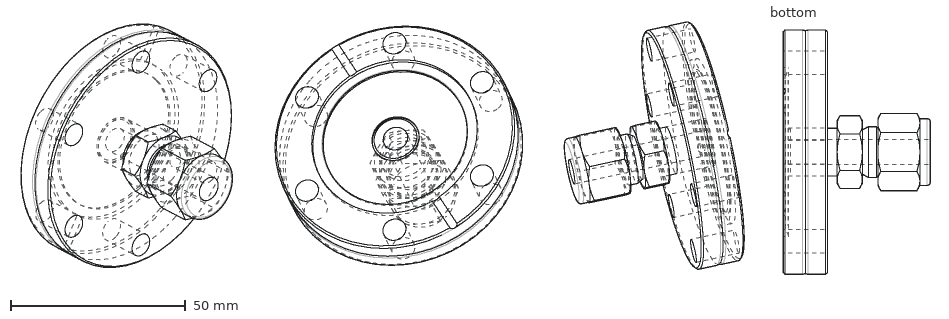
import cadquery as cq
import math

FLANGE_RADIUS = 34.95
FLANGE_THICKNESS = 12.7
RIM_CHAMFER = 0.55
RIM_GROOVE_HALF_WIDTH = 0.8
RIM_GROOVE_DEPTH = 0.2

RECESS_RADIUS = 24.1
GUTTER_DEPTH = 1.6
KNIFE_RADIUS = 21.05
KNIFE_SLOPE_ANGLE = 20.0
KNIFE_RISE = (RECESS_RADIUS - KNIFE_RADIUS) * math.tan(math.radians(KNIFE_SLOPE_ANGLE))
KNIFE_DEPTH = GUTTER_DEPTH - KNIFE_RISE
KNIFE_ROUND = 0.15
RECESS_FLOOR_DEPTH = 1.5

BOLT_COUNT = 6
BOLT_CIRCLE_RADIUS = 29.4
BOLT_HOLE_DIAMETER = 6.7

LEAK_GROOVE_WIDTH = 2.4
LEAK_GROOVE_DEPTH = 0.55
LEAK_GROOVE_ANGLE = 30.0

NECK_RADIUS = 6.85
NECK_END_CHAMFER = 0.6
BORE_DIAMETER = 7.1
BODY_HEX_START = 15.45
BODY_HEX_END = 22.65
BODY_HEX_FLATS = 18.0
COLLAR_RADIUS = 7.3
COLLAR_CONE_RADIUS = 6.35
COLLAR_CONE_END = 24.3
COLLAR_CHAMFER = 0.4
NUT_START = 27.05
NUT_HEX_END = 39.1
NUT_FLATS = 19.15
FITTING_END = 42.1
NUT_END_FILLET = 1.0
HEX_SIDES = 6
HEX_CHAMFER_ANGLE = 30.0

CUT_OVERRUN = 0.7


def x_cylinder(start, end, radius):
    """Solid cylinder along X between two stations."""
    return cq.Workplane("YZ", origin=(start, 0, 0)).circle(radius).extrude(end - start)


def turned(profile):
    """Solid turned about the X axis from a list of (station, radius) points."""
    return cq.Workplane("XY").polyline(profile).close().revolve(360, (0, 0, 0), (1, 0, 0))


def chamfered_hex(start, end, flats):
    """Hexagonal prism along X, flats at +Z and -Z, corners turned to cones at both ends."""
    corner_diameter = flats / math.cos(math.pi / HEX_SIDES)
    prism = cq.Workplane("YZ", origin=(start, 0, 0)).polygon(HEX_SIDES, corner_diameter).extrude(end - start)
    flat_radius = flats / 2
    corner_radius = corner_diameter / 2
    run = (corner_radius - flat_radius) * math.tan(math.radians(HEX_CHAMFER_ANGLE))
    turned_blank = turned([
        (start, 0),
        (start, flat_radius),
        (start + run, corner_radius),
        (end - run, corner_radius),
        (end, flat_radius),
        (end, 0),
    ])
    return prism.intersect(turned_blank)


def rim_groove():
    """Shallow V groove round the middle of the rim."""
    middle = FLANGE_THICKNESS / 2
    mouth = RIM_GROOVE_HALF_WIDTH * (1 + CUT_OVERRUN / RIM_GROOVE_DEPTH)
    return turned([
        (middle, FLANGE_RADIUS - RIM_GROOVE_DEPTH),
        (middle - mouth, FLANGE_RADIUS + CUT_OVERRUN),
        (middle + mouth, FLANGE_RADIUS + CUT_OVERRUN),
    ])


def knife_edge_recess():
    """Recess with a sloped gutter that rises to a ring-shaped knife edge."""
    recess = turned([
        (0, 0),
        (0, RECESS_RADIUS),
        (GUTTER_DEPTH, RECESS_RADIUS),
        (KNIFE_DEPTH, KNIFE_RADIUS),
        (RECESS_FLOOR_DEPTH, KNIFE_RADIUS),
        (RECESS_FLOOR_DEPTH, 0),
    ])
    knife_tip = cq.NearestToPointSelector((KNIFE_DEPTH, 0, 0))
    return recess.edges(knife_tip).fillet(KNIFE_ROUND)


def leak_grooves():
    """Round-bottomed groove straight across the sealing face, cut on both sides of the recess."""
    half_width = LEAK_GROOVE_WIDTH / 2
    arc_radius = (half_width**2 + LEAK_GROOVE_DEPTH**2) / (2 * LEAK_GROOVE_DEPTH)
    return (
        cq.Workplane("XY")
        .center(LEAK_GROOVE_DEPTH - arc_radius, 0)
        .circle(arc_radius)
        .extrude(FLANGE_RADIUS + CUT_OVERRUN, both=True)
        .cut(x_cylinder(-FLANGE_RADIUS, FLANGE_RADIUS, RECESS_RADIUS))
        .rotate((0, 0, 0), (1, 0, 0), -LEAK_GROOVE_ANGLE)
    )


def bolt_holes():
    """Through holes on the bolt circle, the first one at +Z."""
    return (
        cq.Workplane("YZ")
        .polarArray(BOLT_CIRCLE_RADIUS, 90, 360, BOLT_COUNT)
        .circle(BOLT_HOLE_DIAMETER / 2)
        .extrude(FLANGE_THICKNESS)
    )


def make_flange():
    """Flange with a central hole that the fitting's neck fills."""
    disc = x_cylinder(0, FLANGE_THICKNESS, FLANGE_RADIUS).edges().chamfer(RIM_CHAMFER)
    neck_hole = x_cylinder(0, FLANGE_THICKNESS, NECK_RADIUS)
    return (
        disc.cut(rim_groove())
        .cut(knife_edge_recess())
        .cut(leak_grooves())
        .cut(bolt_holes())
        .cut(neck_hole)
    )


def make_fitting():
    """Tube fitting: neck through the flange, body hexagon, collar and nut, with a through bore."""
    neck = (
        x_cylinder(RECESS_FLOOR_DEPTH, BODY_HEX_START, NECK_RADIUS)
        .faces("<X").edges().chamfer(NECK_END_CHAMFER)
    )
    body_hex = chamfered_hex(BODY_HEX_START, BODY_HEX_END, BODY_HEX_FLATS)
    collar = turned([
        (BODY_HEX_END, 0),
        (BODY_HEX_END, COLLAR_CONE_RADIUS),
        (COLLAR_CONE_END, COLLAR_RADIUS),
        (NUT_START - COLLAR_CHAMFER, COLLAR_RADIUS),
        (NUT_START, COLLAR_RADIUS - COLLAR_CHAMFER),
        (NUT_START, 0),
    ])
    nut_hex = chamfered_hex(NUT_START, NUT_HEX_END, NUT_FLATS)
    nut_end = (
        x_cylinder(NUT_HEX_END, FITTING_END, NUT_FLATS / 2)
        .faces(">X").edges().fillet(NUT_END_FILLET)
    )
    bore = x_cylinder(RECESS_FLOOR_DEPTH, FITTING_END, BORE_DIAMETER / 2)
    return neck.union(body_hex).union(collar).union(nut_hex).union(nut_end).cut(bore)


flange = make_flange()
fitting = make_fitting()

result = cq.Compound.makeCompound([flange.val(), fitting.val()])